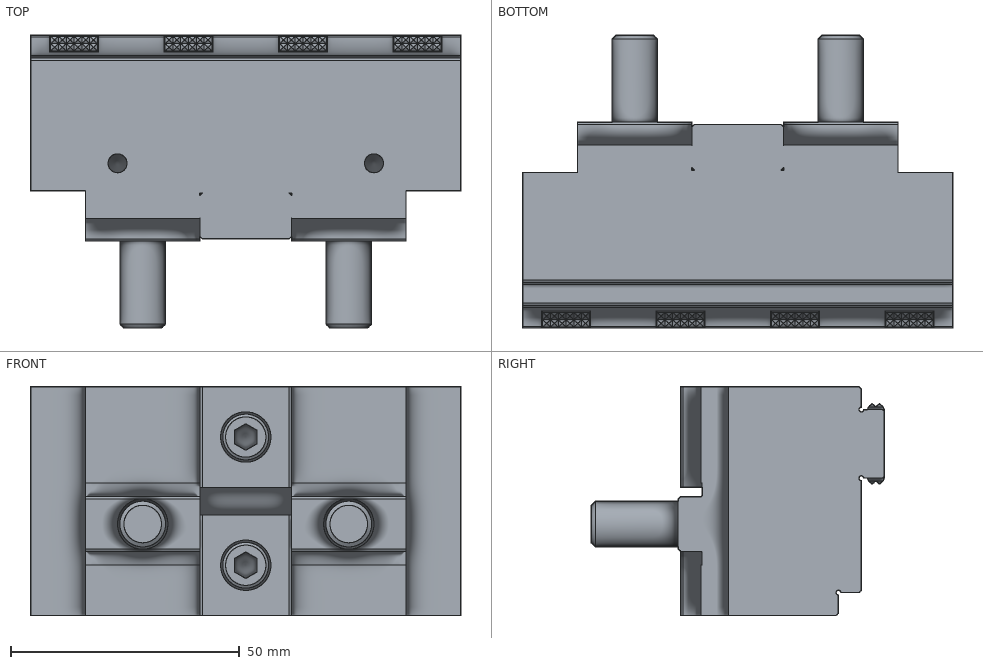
import cadquery as cq
import math

LENGTH = 94.0
HEIGHT = 50.0
EDGE_CHAMFER = 0.5
FRONT_Y = -29.0
LOBE_FRONT_Y = -35.0
LOBE_LENGTH = 70.0
TONGUE_DEPTH = 5.0
TONGUE_BOTTOM_Z = 30.0
TONGUE_TOP_Z = 45.0
TONGUE_CHAMFER = 0.4
STEP_SIZE = 5.0
RELIEF_RADIUS = 0.5

KEY_MID_Z = 20.0
KEY_HEIGHT = 12.0
KEY_FRONT_Y = -40.0
GROOVE_HEIGHT = 18.0
GROOVE_DEPTH = 0.2
KEY_ROOT_RADIUS = 0.25

BLOCK_WIDTH = 20.0
BLOCK_FRONT_Y = -39.5
BLOCK_REAR_Y = -29.5
BLOCK_GAP = 6.0
BLOCK_GAP_MID_Z = 25.0

SCREW_OFFSET_Z = 14.0
SCREW_HEAD_DIAMETER = 10.0
SCREW_HEAD_HEIGHT = 6.0
SCREW_HEAD_CHAMFER = 0.6
SCREW_HOLE_DIAMETER = 11.0
SOCKET_ACROSS_FLATS = 5.0
SOCKET_DEPTH = 3.0

PIN_X = 22.5
PIN_DIAMETER = 10.0
PIN_TIP_Y = -59.0
PIN_CHAMFER = 0.9
COUNTERSINK_DIAMETER = 11.0
COUNTERSINK_ANGLE = 90.0

DRILL_DIAMETER = 4.13
DRILL_DEPTH = 10.0
DRILL_POINT_ANGLE = 118.0
TOP_HOLE_X = 28.0
TOP_HOLE_Y = -23.0
SIDE_HOLE_Y = -4.0
SIDE_HOLE_Z = 45.0

PAD_COUNT = 4
PAD_SPACING = 25.0
TOOTH_COLUMNS = 6
TOOTH_ROWS = 2
COLUMN_PITCH = 1.7
ROW_PITCH = 1.6
TOOTH_HEIGHT = 0.7
PAD_THICKNESS = 0.6
PAD_FLARE = 0.25
PAD_EMBED = 0.5
PAD_MID_Y = TONGUE_DEPTH - TOOTH_ROWS * ROW_PITCH / 2 - PAD_FLARE

SIDES = (-1, 1)


def box(x_range, y_range, z_range):
    """Box spanning the given (min, max) ranges."""
    sizes = [high - low for low, high in (x_range, y_range, z_range)]
    corner = (x_range[0], y_range[0], z_range[0])
    return cq.Workplane("XY").box(*sizes, centered=False).translate(corner)


def centred_range(middle, size):
    return (middle - size / 2, middle + size / 2)


def front_cylinder(x, z, diameter, front_y, rear_y):
    """Cylinder along Y between two Y positions."""
    plane = cq.Workplane("XZ", origin=(x, front_y, z))
    return plane.circle(diameter / 2).extrude(front_y - rear_y)


def cone(origin, direction, diameter, angle):
    """Cone with its base at origin and its point along direction."""
    radius = diameter / 2
    length = radius / math.tan(math.radians(angle / 2))
    return cq.Workplane(cq.Solid.makeCone(radius, 0, length, cq.Vector(*origin), cq.Vector(*direction)))


def drill(origin, direction):
    """Blind drilled hole with a conical bottom."""
    start = cq.Vector(*origin)
    axis = cq.Vector(*direction)
    barrel = cq.Workplane(cq.Solid.makeCylinder(DRILL_DIAMETER / 2, DRILL_DEPTH, start, axis))
    bottom = start + axis * DRILL_DEPTH
    return barrel.union(cone(bottom.toTuple(), direction, DRILL_DIAMETER, DRILL_POINT_ANGLE))


def make_body():
    """Full-length body with rear tongue, lower rear rebate and front lobe."""
    c = EDGE_CHAMFER
    tongue_c = TONGUE_CHAMFER
    profile = [
        (FRONT_Y, 0),
        (-STEP_SIZE - c, 0),
        (-STEP_SIZE, c),
        (-STEP_SIZE, STEP_SIZE),
        (-c, STEP_SIZE),
        (0, STEP_SIZE + c),
        (0, TONGUE_BOTTOM_Z),
        (TONGUE_DEPTH - tongue_c, TONGUE_BOTTOM_Z),
        (TONGUE_DEPTH, TONGUE_BOTTOM_Z + tongue_c),
        (TONGUE_DEPTH, TONGUE_TOP_Z - tongue_c),
        (TONGUE_DEPTH - tongue_c, TONGUE_TOP_Z),
        (0, TONGUE_TOP_Z),
        (0, HEIGHT - c),
        (-c, HEIGHT),
        (FRONT_Y, HEIGHT),
    ]
    body = cq.Workplane("YZ").polyline(profile).close().extrude(LENGTH / 2, both=True)
    internal_corners = [(0, TONGUE_TOP_Z), (0, TONGUE_BOTTOM_Z), (-STEP_SIZE, STEP_SIZE)]
    reliefs = cq.Workplane("YZ").pushPoints(internal_corners).circle(RELIEF_RADIUS)
    body = body.cut(reliefs.extrude(LENGTH / 2, both=True))
    lobe = box(centred_range(0, LOBE_LENGTH), (LOBE_FRONT_Y, FRONT_Y), (0, HEIGHT))
    return body.union(lobe)


def cut_front_slots(body):
    """Cut the shallow key groove and the centre slot for the blocks."""
    lobe_x = centred_range(0, LOBE_LENGTH)
    groove_y = (LOBE_FRONT_Y, LOBE_FRONT_Y + GROOVE_DEPTH)
    body = body.cut(box(lobe_x, groove_y, centred_range(KEY_MID_Z, GROOVE_HEIGHT)))
    return body.cut(box(centred_range(0, BLOCK_WIDTH), (LOBE_FRONT_Y, BLOCK_REAR_Y), (0, HEIGHT)))


def make_key_profile():
    """Y-Z outline of a key: chamfered front edges and rounds flaring out at the root."""
    root_y = LOBE_FRONT_Y + GROOVE_DEPTH
    low_z, high_z = centred_range(KEY_MID_Z, KEY_HEIGHT)
    c = EDGE_CHAMFER
    r = KEY_ROOT_RADIUS
    arc_inset = r * (1 - math.sqrt(0.5))
    arc_mid_y = root_y - arc_inset
    return (
        cq.Workplane("YZ")
        .moveTo(root_y, low_z - r)
        .threePointArc((arc_mid_y, low_z - arc_inset), (root_y - r, low_z))
        .lineTo(KEY_FRONT_Y + c, low_z)
        .lineTo(KEY_FRONT_Y, low_z + c)
        .lineTo(KEY_FRONT_Y, high_z - c)
        .lineTo(KEY_FRONT_Y + c, high_z)
        .lineTo(root_y - r, high_z)
        .threePointArc((arc_mid_y, high_z + arc_inset), (root_y, high_z + r))
        .close()
    )


def make_pinned_key(side):
    """Key on one side of the centre slot, with its pin in a countersink."""
    key_length = (LOBE_LENGTH - BLOCK_WIDTH) / 2
    inner_x = BLOCK_WIDTH / 2
    start_x = inner_x if side > 0 else -inner_x - key_length
    key = make_key_profile().extrude(key_length).translate((start_x, 0, 0))
    x = side * PIN_X
    key = key.cut(cone((x, KEY_FRONT_Y, KEY_MID_Z), (0, 1, 0), COUNTERSINK_DIAMETER, COUNTERSINK_ANGLE))
    countersink_depth = COUNTERSINK_DIAMETER / 2 / math.tan(math.radians(COUNTERSINK_ANGLE / 2))
    pin = front_cylinder(x, KEY_MID_Z, PIN_DIAMETER, PIN_TIP_Y, KEY_FRONT_Y + countersink_depth)
    return key.union(pin.faces("<Y").chamfer(PIN_CHAMFER))


def make_screw_head(z):
    """Screw head flush with the block face, with a hexagon socket."""
    head_rear_y = BLOCK_FRONT_Y + SCREW_HEAD_HEIGHT
    head = front_cylinder(0, z, SCREW_HEAD_DIAMETER, BLOCK_FRONT_Y, head_rear_y)
    head = head.faces("<Y").chamfer(SCREW_HEAD_CHAMFER)
    across_corners = SOCKET_ACROSS_FLATS / math.cos(math.pi / 6)
    face = cq.Workplane("XZ", origin=(0, BLOCK_FRONT_Y, z))
    hexagon = face.transformed(rotate=(0, 0, 90)).polygon(6, across_corners).extrude(-SCREW_HEAD_HEIGHT)
    socket_rear_y = BLOCK_FRONT_Y + SOCKET_DEPTH
    bore = front_cylinder(0, z, across_corners, BLOCK_FRONT_Y, socket_rear_y)
    bore = bore.union(cone((0, socket_rear_y, z), (0, 1, 0), across_corners, DRILL_POINT_ANGLE))
    return head.cut(hexagon.intersect(bore))


def make_block(side):
    """Clamping block above or below the gap, with its screw."""
    gap_edge_z = BLOCK_GAP_MID_Z + side * BLOCK_GAP / 2
    outer_z = HEIGHT if side > 0 else 0
    z_range = sorted((gap_edge_z, outer_z))
    block = box(centred_range(0, BLOCK_WIDTH), (BLOCK_FRONT_Y, BLOCK_REAR_Y), z_range)
    block = block.edges("|Z").chamfer(EDGE_CHAMFER)
    screw_z = BLOCK_GAP_MID_Z + side * SCREW_OFFSET_Z
    head_rear_y = BLOCK_FRONT_Y + SCREW_HEAD_HEIGHT
    block = block.cut(front_cylinder(0, screw_z, SCREW_HOLE_DIAMETER, BLOCK_FRONT_Y, head_rear_y))
    return block.union(make_screw_head(screw_z))


def make_ridges(plane, count, pitch, run):
    """Parallel saw-tooth ridges standing on a plate, running along the plane normal."""
    half_span = count * pitch / 2
    points = [(-half_span, 0), (-half_span, PAD_THICKNESS)]
    for i in range(count):
        start = i * pitch - half_span
        points.append((start + pitch / 2, PAD_THICKNESS + TOOTH_HEIGHT))
        points.append((start + pitch, PAD_THICKNESS))
    points.append((half_span, 0))
    return cq.Workplane(plane).polyline(points).close().extrude(run / 2, both=True)


def make_pad():
    """Upright grip pad on the XY plane: flared foot and pyramid teeth."""
    length = TOOTH_COLUMNS * COLUMN_PITCH
    width = TOOTH_ROWS * ROW_PITCH
    foot_length = length + 2 * PAD_FLARE
    foot_width = width + 2 * PAD_FLARE
    taper = math.degrees(math.atan(PAD_FLARE / PAD_THICKNESS))
    foot = cq.Workplane("XY").rect(foot_length, foot_width).extrude(PAD_THICKNESS, taper=taper)
    foot = foot.union(cq.Workplane("XY").rect(foot_length, foot_width).extrude(-PAD_EMBED))

    columns = make_ridges("XZ", TOOTH_COLUMNS, COLUMN_PITCH, width)
    rows = make_ridges("YZ", TOOTH_ROWS, ROW_PITCH, length)
    return foot.union(columns.intersect(rows))


def add_pads(body):
    """Add the row of pads to the top and the bottom of the tongue."""
    top_pad = make_pad()
    bottom_pad = top_pad.mirror("XY")
    for i in range(PAD_COUNT):
        x = (i - (PAD_COUNT - 1) / 2) * PAD_SPACING
        for pad, z in ((top_pad, TONGUE_TOP_Z), (bottom_pad, TONGUE_BOTTOM_Z)):
            body = body.union(pad.translate((x, PAD_MID_Y, z)))
    return body


def cut_drilled_holes(body):
    """Drill the two holes in the top face and the one in the -X end."""
    for side in SIDES:
        body = body.cut(drill((side * TOP_HOLE_X, TOP_HOLE_Y, HEIGHT), (0, 0, -1)))
    return body.cut(drill((-LENGTH / 2, SIDE_HOLE_Y, SIDE_HOLE_Z), (1, 0, 0)))


result = cut_drilled_holes(cut_front_slots(make_body()))
for side in SIDES:
    result = result.union(make_pinned_key(side))
    result = result.union(make_block(side))
result = add_pads(result)